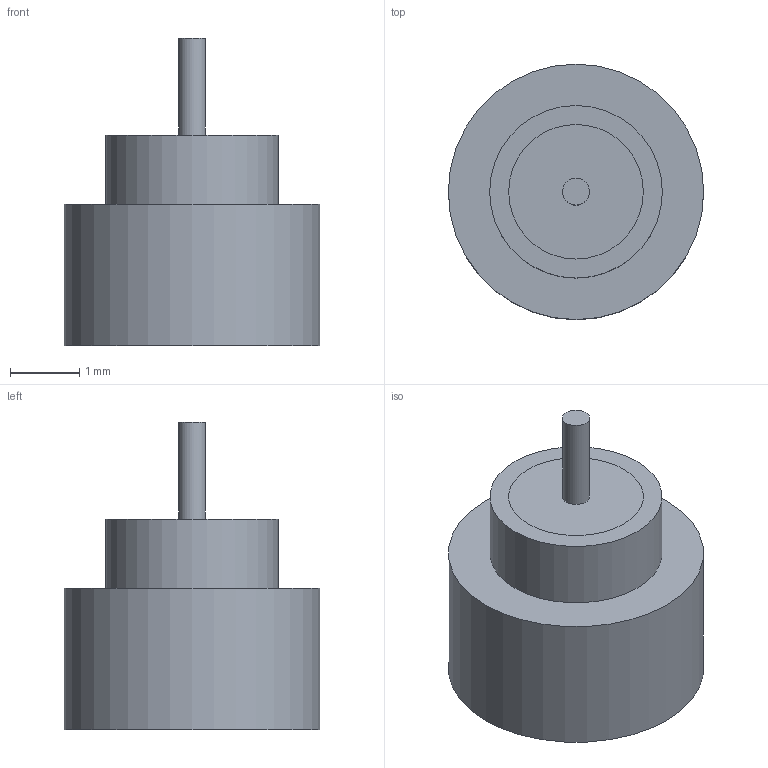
import cadquery as cq

body_diameter = 3.7
body_height = 2.05
collar_diameter = 2.5
collar_height = 1.0
insulator_diameter = 1.95
pin_diameter = 0.39
pin_length = 1.4

collar_top = body_height + collar_height


def cylinder(diameter, height, base_z):
    """Upright cylinder on the Z axis, starting at base_z."""
    return cq.Workplane("XY").workplane(offset=base_z).circle(diameter / 2).extrude(height)


def collar_ring():
    """Sleeve of the collar, open where the insulator sits."""
    insulator_space = cylinder(insulator_diameter, collar_height, body_height)
    return cylinder(collar_diameter, collar_height, body_height).cut(insulator_space)


body = cylinder(body_diameter, body_height, 0)
insulator = cylinder(insulator_diameter, collar_height, body_height)
pin = cylinder(pin_diameter, pin_length, collar_top)

result = body.union(collar_ring(), clean=False)
result = result.union(insulator, clean=False)
result = result.union(pin, clean=False)